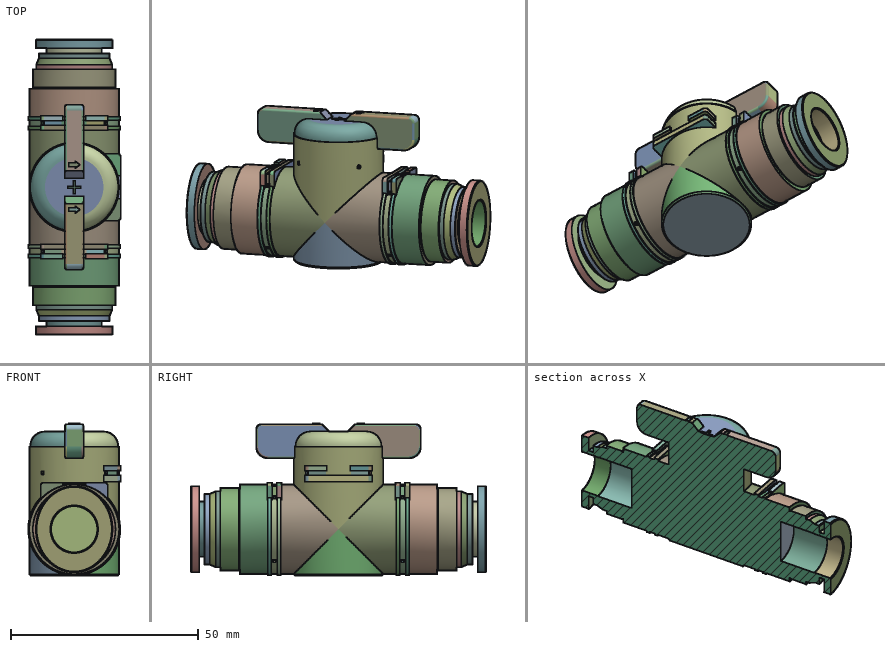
import cadquery as cq
half_length = 39.4
tube_r = 12.0
tube_end = 26.3
collar_r = 11.0
collar_start = 31.5
collar_chamfer = 0.3
sleeve_r = 10.2
sleeve_start = 32.7
sleeve_tip_r = 9.45
sleeve_tip_start = 34.35
sleeve_end = 35.8
sleeve_chamfer = 0.15
neck_r = 7.4

flange_thickness = 2.3
flange_half_x = 10.25
flange_half_z = 11.5
flange_chamfer = 0.2
bore_r = 6.15
bore_depth = 5.2
socket_r = 6.2
socket_depth = 15.75
bore_chamfer = 0.2

body_r = 12.0
body_bottom = -12.45
body_chamfer = 0.5
knob_r = 11.75
knob_base = 22.0
knob_top = 26.1
knob_fillet = 3.95

lever_width = 5.0
lever_top = 28.05
lever_bottom = 18.9
lever_reach = 22.0
lever_inner = 2.45
lever_top_corner = 1.5
lever_bottom_corner = 3.15
lever_edge = 0.55
arrow_height = 0.15
arrow_length = 3.0
arrow_width = 1.9
arrow_shaft = 0.95
arrow_head = 1.2
arrow_y = 6.0
cross_size = 3.5
cross_bar = 0.6
cross_depth = 0.15

clip_half_width = 9.0
clip_height = 12.45
clip_corner = 0.95
clip_bar = 1.35
body_clip_inner_bar = 1.7
clip_gap = 1.2
clip_notch = 6.15
tube_clip_at = 17.1
body_clip_at = 15.05
ring_r = 12.3
ring_width = 0.95
pin_hole_r = 0.5
pin_hole_depth = 0.8

bar_offset = (clip_gap + clip_bar) / 2
web_height = clip_height - clip_corner
web_width = 2 * (clip_half_width - clip_corner)
from_axis = (False, True, True)


def run_half():
    """The half of the run on the +Y side, revolved about Y."""
    outline = [
        (0, 0),
        (tube_r, 0),
        (tube_r, tube_end),
        (collar_r - collar_chamfer, tube_end),
        (collar_r, tube_end + collar_chamfer),
        (collar_r, collar_start),
        (sleeve_r, collar_start),
        (sleeve_r, sleeve_start),
        (sleeve_tip_r, sleeve_tip_start),
        (sleeve_tip_r, sleeve_end - sleeve_chamfer),
        (sleeve_tip_r - sleeve_chamfer, sleeve_end),
        (neck_r, sleeve_end),
        (neck_r, half_length - flange_thickness),
        (0, half_length - flange_thickness),
    ]
    pipe = cq.Workplane("XY").polyline(outline).close().revolve(360, (0, 0), (0, 1))
    flange = (
        cq.Workplane("XZ", origin=(0, half_length, 0))
        .ellipse(flange_half_x, flange_half_z)
        .extrude(flange_thickness)
        .faces(">Y")
        .chamfer(flange_chamfer)
    )
    bore = cq.Workplane("XZ", origin=(0, half_length, 0)).circle(bore_r).extrude(bore_depth)
    socket = cq.Workplane("XZ", origin=(0, half_length - bore_depth, 0)).circle(socket_r)
    socket = socket.extrude(socket_depth - bore_depth)
    half = pipe.union(flange).cut(bore).cut(socket)
    rim = cq.selectors.RadiusNthSelector(0)
    return half.faces(">Y").edges(rim).chamfer(bore_chamfer)


def upright_body():
    """Vertical cylinder closed by a domed knob."""
    body = (
        cq.Workplane("XY", origin=(0, 0, body_bottom))
        .circle(body_r)
        .extrude(knob_base - body_bottom)
        .faces("<Z")
        .chamfer(body_chamfer)
    )
    knob = (
        cq.Workplane("XY", origin=(0, 0, knob_base))
        .circle(knob_r)
        .extrude(knob_top - knob_base)
        .faces(">Z")
        .edges()
        .fillet(knob_fillet)
    )
    return body.union(knob)


def disc(radius, width, at):
    """Disc about Z, centred at height `at`."""
    return cq.Workplane("XY", origin=(0, 0, at - width / 2)).circle(radius).extrude(width)


def bar_across(thickness, at):
    """Bar reaching from the Z axis out to +X, with rounded outer corners."""
    bar = cq.Workplane("XY").box(clip_height, 2 * clip_half_width, thickness, centered=from_axis)
    return bar.edges("|Z and >X").fillet(clip_corner).translate((0, 0, at))


def clip(at, inner_thickness):
    """Clip pad facing +X at height `at`; its outer bar is notched at the middle."""
    inner_bar = bar_across(inner_thickness, at - (clip_gap + inner_thickness) / 2)
    outer_bar = bar_across(clip_bar, at + bar_offset)
    notch = cq.Workplane("XY").box(2 * clip_height, clip_notch, clip_bar)
    outer_bar = outer_bar.cut(notch.translate((0, 0, at + bar_offset)))
    web = cq.Workplane("XY").box(web_height, web_width, clip_gap, centered=from_axis)
    return inner_bar.union(outer_bar).union(web.translate((0, 0, at)))


def rings(at):
    """Two raised rings around the pipe, one under each clip bar."""
    inner_ring = disc(ring_r, ring_width, at - bar_offset)
    outer_ring = disc(ring_r, ring_width, at + bar_offset)
    return inner_ring.union(outer_ring)


def pin_holes(at):
    """Four small radial holes on the diagonals of a cylinder about Z."""
    hole = (
        cq.Workplane("YZ", origin=(body_r - pin_hole_depth, 0, at))
        .circle(pin_hole_r)
        .extrude(2 * pin_hole_depth)
    )
    holes = hole.rotate((0, 0, 0), (0, 0, 1), 45)
    for angle in (135, 225, 315):
        holes = holes.union(hole.rotate((0, 0, 0), (0, 0, 1), angle))
    return holes


def onto_run(shape):
    """Turn a shape built about Z so +Z becomes +Y and +X becomes +Z."""
    return shape.rotate((0, 0, 0), (0, 1, 0), -90).rotate((0, 0, 0), (0, 0, 1), -90)


def both_ends(shape):
    """Add the mirror image on the -Y side."""
    return shape.union(shape.mirror("XZ"))


def lever():
    """Bar across the knob, parted by a gap whose sides slope at 45 degrees to the knob top."""
    wing = (
        cq.Workplane("XY", origin=(0, 0, lever_bottom))
        .rect(lever_width, 2 * lever_reach)
        .extrude(lever_top - lever_bottom)
        .edges("|X and >Z")
        .fillet(lever_top_corner)
        .edges("|X and <Z")
        .fillet(lever_bottom_corner)
        .faces("<X or >X")
        .edges()
        .fillet(lever_edge)
    )
    rise = 2 * (lever_top - knob_top)
    gap = (
        cq.Workplane("YZ", origin=(-lever_width, 0, 0))
        .polyline(
            [
                (-lever_inner, knob_top),
                (lever_inner, knob_top),
                (lever_inner + rise, knob_top + rise),
                (-lever_inner - rise, knob_top + rise),
            ]
        )
        .close()
        .extrude(2 * lever_width)
    )
    return wing.cut(gap)


def arrow(y):
    """Raised arrow on the lever top, pointing toward +X."""
    tip = arrow_length / 2
    neck = tip - arrow_head
    outline = [
        (-tip, -arrow_shaft / 2),
        (neck, -arrow_shaft / 2),
        (neck, -arrow_width / 2),
        (tip, 0),
        (neck, arrow_width / 2),
        (neck, arrow_shaft / 2),
        (-tip, arrow_shaft / 2),
    ]
    return cq.Workplane("XY", origin=(0, y, lever_top)).polyline(outline).close().extrude(arrow_height)


def pivot_cross():
    """Engraved cross at the centre of the knob top."""
    bar = cq.Workplane("XY", origin=(0, 0, knob_top)).rect(cross_size, cross_bar).extrude(-cross_depth)
    return bar.union(bar.rotate((0, 0, 0), (0, 0, 1), 90))


result = both_ends(run_half()).union(upright_body())

run_clip = onto_run(rings(tube_clip_at).union(clip(tube_clip_at, clip_bar)))
result = result.union(both_ends(run_clip)).union(clip(body_clip_at, body_clip_inner_bar))

result = result.cut(both_ends(onto_run(pin_holes(tube_clip_at)))).cut(pin_holes(body_clip_at))
result = result.union(lever())
result = result.union(arrow(arrow_y)).union(arrow(-arrow_y)).cut(pivot_cross())